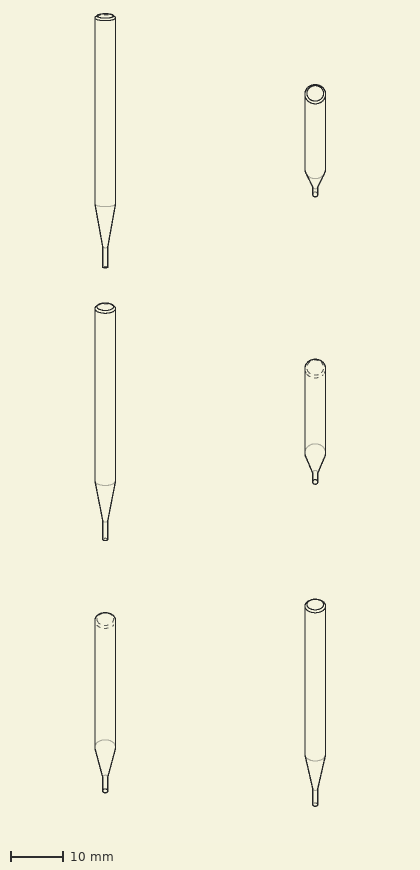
import cadquery as cq

total_length = 50.0
shank_diameter = 4.0
tip_diameter = 1.0

tip_length = 4.0
cone_length = 8.6
shank_chamfer = 0.4

shank_radius = shank_diameter / 2
tip_radius = tip_diameter / 2

bottom = -total_length / 2
top = total_length / 2
cone_start = bottom + tip_length
cone_end = cone_start + cone_length

profile = (
    cq.Workplane("XZ")
    .moveTo(0, bottom)
    .lineTo(tip_radius, bottom)
    .lineTo(tip_radius, cone_start)
    .lineTo(shank_radius, cone_end)
    .lineTo(shank_radius, top - shank_chamfer)
    .lineTo(shank_radius - shank_chamfer, top)
    .lineTo(0, top)
    .close()
)

result = profile.revolve(360, (0, 0, 0), (0, 1, 0))